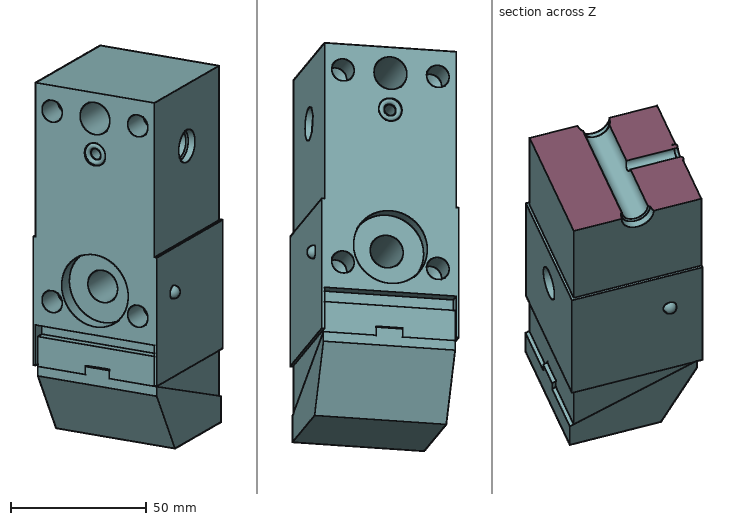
import cadquery as cq
import math


block_width = 50.0
block_depth = 50.0
total_height = 138.99
nose_front_y = 1.75

collar_wall = 1.0
collar_top_z = -60.0
collar_bottom_z = -110.0
collar_width = block_width + 2 * collar_wall
collar_depth = block_depth + collar_wall

slot_top_z = -94.2
slot_height = 5.0
slot_depth = 5.0
nose_top_z = slot_top_z - slot_height

joint_angle = 20.0
joint_front_z = -110.8
joint_slope = math.tan(math.radians(joint_angle))
key_width = 10.0
key_height = 3.1
key_clearance = 0.4

jaw_back_y = 51.5
jaw_front_bottom_z = -114.5
jaw_bevel_angle = 30.0
jaw_bottom_front_y = nose_front_y + (total_height + jaw_front_bottom_z) * math.tan(math.radians(jaw_bevel_angle))

mount_hole_diameter = 12.5
upper_mount_z = -10.0
lower_mount_z = -77.0
counterbore_diameter = 28.0
counterbore_depth = 6.0

blind_hole_diameter = 8.5
blind_hole_depth = 12.0
blind_hole_spacing = 36.0
blind_hole_levels = (upper_mount_z, -84.0)
drill_point_angle = 118.0

cross_bore_z = -24.0
cross_bore_y = block_depth / 2
cross_bore_diameter = 10.0
cross_mouth_diameter = 12.5
cross_mouth_depth = 2.5
cross_mouth_end_diameter = 11.3
cross_taper_length = 0.6
port_recess_diameter = 8.8
ring_section_radius = 1.1
ring_protrusion = 0.44
ring_centre_radius = port_recess_diameter / 2 - ring_section_radius
port_diameter = 2 * (ring_centre_radius - ring_section_radius)
ring_centre_y = ring_section_radius - ring_protrusion
port_recess_depth = ring_centre_y + ring_section_radius / 2

ball_radius = 2.525
ball_y = 12.8
ball_z = lower_mount_z


def joint_z(y):
    """Height of the inclined joint at depth y."""
    return joint_front_z - (y - nose_front_y) * joint_slope


def box(width, y_start, y_end, z_low, z_high):
    """Box centred on X between two depths and two heights."""
    size = (width, y_end - y_start, z_high - z_low)
    return cq.Workplane("XY", origin=(0, y_start, z_low)).box(*size, centered=(True, False, False))


def side_profile(points, width):
    """Extrude a (Y, Z) outline symmetrically across X."""
    return cq.Workplane("YZ").polyline(points).close().extrude(width / 2, both=True)


def front_hole(x, z, diameter, depth):
    """Cylinder cutting into the front face."""
    centre = cq.Vector(x, 0, z)
    return cq.Workplane(cq.Solid.makeCylinder(diameter / 2, depth, centre, cq.Vector(0, 1, 0)))


def drilled_hole(x, z):
    """Blind hole with a conical drill point."""
    radius = blind_hole_diameter / 2
    point_length = radius / math.tan(math.radians(drill_point_angle / 2))
    tip_start = cq.Vector(x, blind_hole_depth, z)
    tip = cq.Solid.makeCone(radius, 0, point_length, tip_start, cq.Vector(0, 1, 0))
    return front_hole(x, z, blind_hole_diameter, blind_hole_depth).union(cq.Workplane(tip))


def key_strip(y_start, y_end, height):
    """Bar lying along the inclined joint, rising above it by the given height."""
    points = [
        (y_start, joint_z(y_start)),
        (y_end, joint_z(y_end)),
        (y_end, joint_z(y_end) + height),
        (y_start, joint_z(y_start) + height),
    ]
    return side_profile(points, key_width)


def cross_bore():
    """Bore across X with a tapered mouth and a conical step at each side."""
    half_width = block_width / 2
    bore_radius = cross_bore_diameter / 2
    mouth_radius = cross_mouth_diameter / 2
    mouth_end_radius = cross_mouth_end_diameter / 2
    mouth_end = half_width - cross_mouth_depth
    taper_end = mouth_end - cross_taper_length
    profile = [
        (-half_width, 0),
        (-half_width, mouth_radius),
        (-mouth_end, mouth_end_radius),
        (-taper_end, bore_radius),
        (taper_end, bore_radius),
        (mouth_end, mouth_end_radius),
        (half_width, mouth_radius),
        (half_width, 0),
    ]
    bore = cq.Workplane("XY").polyline(profile).close().revolve(360, (0, 0, 0), (1, 0, 0))
    return bore.translate((0, cross_bore_y, cross_bore_z))


def port_ring():
    """O-ring standing slightly proud of the front face."""
    centre = cq.Vector(0, ring_centre_y, cross_bore_z)
    return cq.Workplane(cq.Solid.makeTorus(ring_centre_radius, ring_section_radius, centre, cq.Vector(0, 1, 0)))


def make_housing():
    block_outline = [
        (0, 0),
        (block_depth, 0),
        (block_depth, joint_z(block_depth)),
        (nose_front_y, joint_front_z),
        (nose_front_y, nose_top_z),
        (slot_depth, nose_top_z),
        (slot_depth, slot_top_z),
        (0, slot_top_z),
    ]
    body = side_profile(block_outline, block_width)

    collar = box(collar_width, 0, collar_depth, collar_bottom_z, collar_top_z)
    collar = collar.cut(box(block_width, 0, block_depth, collar_bottom_z, collar_top_z))
    body = body.union(collar)

    for side in (-1, 1):
        ball = cq.Workplane("XY").sphere(ball_radius)
        body = body.union(ball.translate((side * collar_width / 2, ball_y, ball_z)))

    for z in (upper_mount_z, lower_mount_z):
        body = body.cut(front_hole(0, z, mount_hole_diameter, collar_depth))
    body = body.cut(front_hole(0, lower_mount_z, counterbore_diameter, counterbore_depth))

    for z in blind_hole_levels:
        for side in (-1, 1):
            body = body.cut(drilled_hole(side * blind_hole_spacing / 2, z))

    body = body.cut(cross_bore())
    body = body.cut(front_hole(0, cross_bore_z, port_recess_diameter, port_recess_depth))
    body = body.union(port_ring())
    body = body.cut(front_hole(0, cross_bore_z, port_diameter, cross_bore_y))

    return body.cut(key_strip(nose_front_y, block_depth, key_height + key_clearance))


def make_jaw():
    jaw_outline = [
        (nose_front_y, joint_front_z),
        (jaw_back_y, joint_z(jaw_back_y)),
        (jaw_back_y, -total_height),
        (jaw_bottom_front_y, -total_height),
        (nose_front_y, jaw_front_bottom_z),
    ]
    body = side_profile(jaw_outline, block_width)
    return body.union(key_strip(nose_front_y, jaw_back_y, key_height))


housing = make_housing()
jaw = make_jaw()

result = cq.Compound.makeCompound([housing.solids().val(), jaw.solids().val()])